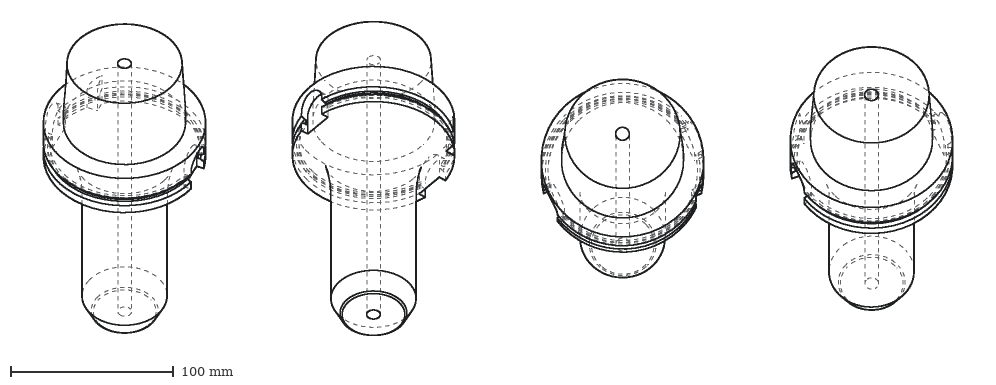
import cadquery as cq
import math

total_height = 210.0
nose_edge_height = 1.0
nose_height = 13.0
neck_start = 99.0
flange_bottom = 131.0
groove_bottom = 137.0
groove_top = 143.2
flange_top = 160.0
taper_bottom = 170.0

nose_end_radius = 19.3
nose_radius = 20.5
body_radius = 26.2
neck_radius = 30.0
flange_radius = 50.0
groove_lip_radius = 47.7
groove_radius = 46.0
shank_radius = 37.5
shank_top_radius = 35.5
bore_radius = 4.2

groove_bevel_height = 1.5
neck_fillet_radius = 4.8
joint_iterations = 20

slot_width = 19.7
slot_top = 155.0
drive_slot_floor = 44.0
index_slot_floor = 32.1
index_slot_y = 41.2


def neck_arcs():
    """Return (neck arc middle, neck arc end, fillet middle, fillet end) as (radius, height).

    The long arc leaves the body vertically; the fillet continues its tangent
    and ends flat on the underside of the flange.
    """
    spread = neck_radius - body_radius
    rise = flange_bottom - neck_start
    joint_angle = 0
    for _ in range(joint_iterations):
        neck_height = rise - neck_fillet_radius * (1 - math.sin(joint_angle))
        joint_angle = 2 * math.atan(spread / neck_height)
    arc_radius = spread / (1 - math.cos(joint_angle))

    def on_neck(angle):
        return (body_radius + arc_radius * (1 - math.cos(angle)),
                neck_start + arc_radius * math.sin(angle))

    fillet_center_radius = neck_radius + neck_fillet_radius * math.cos(joint_angle)
    fillet_center_height = flange_bottom - neck_fillet_radius

    def on_fillet(angle):
        return (fillet_center_radius - neck_fillet_radius * math.cos(angle),
                fillet_center_height + neck_fillet_radius * math.sin(angle))

    quarter_turn = math.pi / 2
    return (on_neck(joint_angle / 2), on_neck(joint_angle),
            on_fillet((joint_angle + quarter_turn) / 2), on_fillet(quarter_turn))


def turned_body():
    """Revolve the half section from the bore out to the outer surface."""
    neck_middle, neck_end, fillet_middle, fillet_end = neck_arcs()
    return (
        cq.Workplane("XZ")
        .moveTo(bore_radius, 0)
        .lineTo(nose_end_radius, 0)
        .lineTo(nose_radius, nose_edge_height)
        .lineTo(body_radius, nose_height)
        .lineTo(body_radius, neck_start)
        .threePointArc(neck_middle, neck_end)
        .threePointArc(fillet_middle, fillet_end)
        .lineTo(flange_radius, flange_bottom)
        .lineTo(flange_radius, groove_bottom)
        .lineTo(groove_lip_radius, groove_bottom + groove_bevel_height)
        .lineTo(groove_radius, groove_bottom + groove_bevel_height)
        .lineTo(groove_radius, groove_top - groove_bevel_height)
        .lineTo(groove_lip_radius, groove_top - groove_bevel_height)
        .lineTo(flange_radius, groove_top)
        .lineTo(flange_radius, flange_top)
        .lineTo(shank_radius, flange_top)
        .lineTo(shank_radius, taper_bottom)
        .lineTo(shank_top_radius, total_height)
        .lineTo(bore_radius, total_height)
        .close()
        .revolve(360, (0, 0), (0, 1))
    )


def slot_cutter(side, floor, center_y):
    """Slot with an arched top, from the floor out past the rim; side is +1 or -1 along X."""
    half_width = slot_width / 2
    spring_height = slot_top - half_width
    return (
        cq.Workplane("YZ", origin=(side * floor, 0, 0))
        .moveTo(center_y - half_width, flange_bottom)
        .lineTo(center_y + half_width, flange_bottom)
        .lineTo(center_y + half_width, spring_height)
        .threePointArc((center_y, slot_top), (center_y - half_width, spring_height))
        .close()
        .extrude(side * flange_radius)
    )


result = turned_body()
for slot_side in (-1, 1):
    result = result.cut(slot_cutter(slot_side, drive_slot_floor, 0))
result = result.cut(slot_cutter(-1, index_slot_floor, index_slot_y))